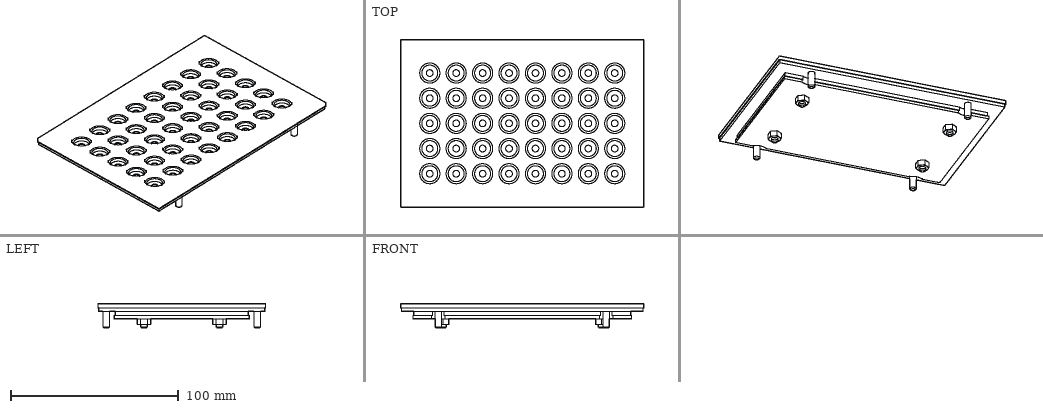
import cadquery as cq
import math

COVER_SIZE = (145.0, 100.0)
COVER_THICKNESS = 2.5
COVER_CORNER_RADIUS = 0.5
COVER_EDGE_ROUNDING = 0.25
MIDDLE_SIZE = (144.0, 99.0)
MIDDLE_THICKNESS = 2.0
SPACER_SIZE = (129.5, 79.5)
SPACER_THICKNESS = 2.5
BASE_SIZE = (130.5, 80.5)
BASE_THICKNESS = 2.0

TOTAL_HEIGHT = 14.5

WELL_COLUMNS = 8
WELL_ROWS = 5
WELL_PITCH_X = 15.75
WELL_PITCH_Y = 15.0
WELL_DIAMETER = 12.0
WELL_RIM_ROUNDING = 0.75
WELL_BORE_DIAMETER = 9.5
WELL_HOLE_DIAMETER = 4.0
WELL_HOLE_DEPTH = 0.5

PIN_X = 50.0
PIN_Y = 45.0
PIN_DIAMETER = 4.0
PIN_CLEARANCE_DIAMETER = 12.5
TIP_CHAMFER = 0.7

STUD_X = 3.0 * WELL_PITCH_X
STUD_Y = 1.5 * WELL_PITCH_Y
STUD_DIAMETER = 4.0
NUT_WIDTH = 7.0
NUT_HEIGHT = 3.5
NUT_CHAMFER_ANGLE = 30.0
HEXAGON_HALF_ANGLE = 30.0

COVER_BOTTOM = -COVER_THICKNESS
MIDDLE_BOTTOM = COVER_BOTTOM - MIDDLE_THICKNESS
SPACER_BOTTOM = MIDDLE_BOTTOM - SPACER_THICKNESS
BASE_BOTTOM = SPACER_BOTTOM - BASE_THICKNESS
TIP_Z = -TOTAL_HEIGHT


def four_corners(x, y):
    return [(sx * x, sy * y) for sx in (-1, 1) for sy in (-1, 1)]


def plate(size, top, thickness):
    return cq.Workplane("XY").workplane(offset=top - thickness).rect(*size).extrude(thickness)


def plate_stack():
    cover = plate(COVER_SIZE, 0, COVER_THICKNESS).edges("|Z").fillet(COVER_CORNER_RADIUS)
    cover = cover.faces(">Z").edges().fillet(COVER_EDGE_ROUNDING)
    middle = plate(MIDDLE_SIZE, COVER_BOTTOM, MIDDLE_THICKNESS)
    lower = plate(SPACER_SIZE, MIDDLE_BOTTOM, SPACER_THICKNESS)
    lower = lower.union(plate(BASE_SIZE, SPACER_BOTTOM, BASE_THICKNESS))
    clearance = (
        cq.Workplane("XY")
        .workplane(offset=BASE_BOTTOM)
        .pushPoints(four_corners(PIN_X, PIN_Y))
        .circle(PIN_CLEARANCE_DIAMETER / 2)
        .extrude(MIDDLE_BOTTOM - BASE_BOTTOM)
    )
    return cover.union(middle).union(lower.cut(clearance))


def well_cutter():
    """Revolved stepped well: a rounded cover hole, a middle plate bore and a shallow hole in the spacer."""
    wall_radius = WELL_DIAMETER / 2
    rim_radius = wall_radius + WELL_RIM_ROUNDING
    arc_inset = WELL_RIM_ROUNDING * (1 - math.sqrt(0.5))
    hole_bottom = MIDDLE_BOTTOM - WELL_HOLE_DEPTH
    profile = (
        cq.Workplane("XZ")
        .lineTo(rim_radius, 0)
        .threePointArc((wall_radius + arc_inset, -arc_inset), (wall_radius, -WELL_RIM_ROUNDING))
        .lineTo(wall_radius, COVER_BOTTOM)
        .lineTo(WELL_BORE_DIAMETER / 2, COVER_BOTTOM)
        .lineTo(WELL_BORE_DIAMETER / 2, MIDDLE_BOTTOM)
        .lineTo(WELL_HOLE_DIAMETER / 2, MIDDLE_BOTTOM)
        .lineTo(WELL_HOLE_DIAMETER / 2, hole_bottom)
        .lineTo(0, hole_bottom)
        .close()
    )
    return profile.revolve(360, (0, 0), (0, 1)).val()


def all_wells():
    cutter = well_cutter()
    grid = cq.Workplane("XY").rarray(WELL_PITCH_X, WELL_PITCH_Y, WELL_COLUMNS, WELL_ROWS)
    return grid.eachpoint(lambda place: cutter.located(place))


def rod(diameter, top):
    """Vertical rod with a chamfered lower tip."""
    length = top - TIP_Z
    blank = cq.Workplane("XY").workplane(offset=TIP_Z).circle(diameter / 2).extrude(length)
    return blank.faces("<Z").chamfer(TIP_CHAMFER)


def nut():
    """Hexagon nut with two flats facing +X and -X and a coned lower face."""
    corner_radius = NUT_WIDTH / 2 / math.cos(math.radians(HEXAGON_HALF_ANGLE))
    cone_height = (corner_radius - NUT_WIDTH / 2) * math.tan(math.radians(NUT_CHAMFER_ANGLE))
    bottom = BASE_BOTTOM - NUT_HEIGHT
    hexagon = (
        cq.Workplane("XY")
        .workplane(offset=bottom)
        .polygon(6, 2 * corner_radius)
        .extrude(NUT_HEIGHT)
        .rotate((0, 0, 0), (0, 0, 1), 90)
    )
    envelope_profile = [
        (0, bottom),
        (NUT_WIDTH / 2, bottom),
        (corner_radius, bottom + cone_height),
        (corner_radius, BASE_BOTTOM),
        (0, BASE_BOTTOM),
    ]
    envelope = cq.Workplane("XZ").polyline(envelope_profile).close().revolve(360, (0, 0), (0, 1))
    return hexagon.intersect(envelope)


result = plate_stack().cut(all_wells())

for x, y in four_corners(PIN_X, PIN_Y):
    result = result.union(rod(PIN_DIAMETER, MIDDLE_BOTTOM).translate((x, y, 0)))

nut_and_stud = nut().union(rod(STUD_DIAMETER, BASE_BOTTOM))
for x, y in four_corners(STUD_X, STUD_Y):
    result = result.union(nut_and_stud.translate((x, y, 0)))